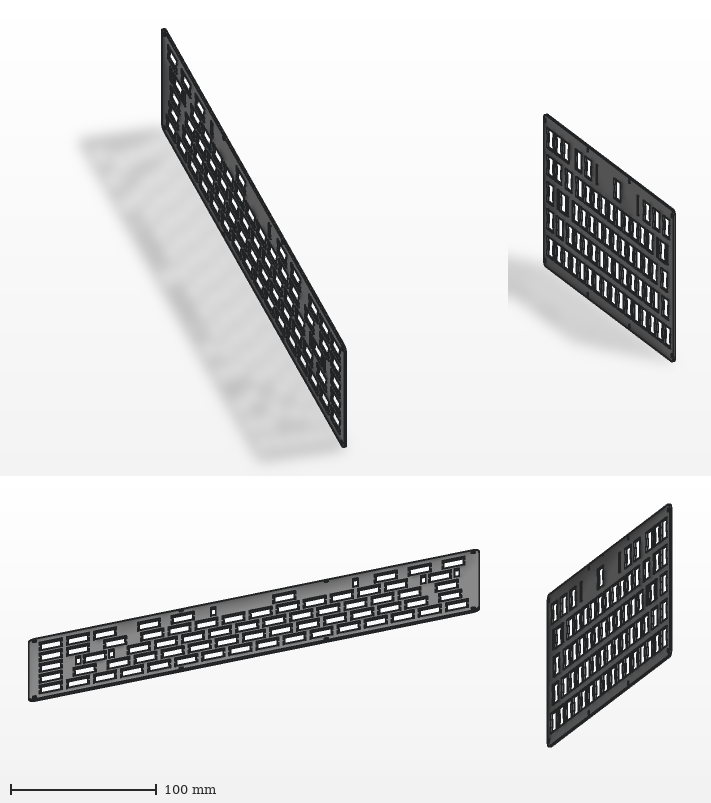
import cadquery as cq

plate_width = 317.0
plate_height = 106.8
plate_thickness = 1.5
corner_radius = 4.8

columns = 16
rows = 5
span_keys = 10
span_length = 190.5
key_pitch = span_length / span_keys

switch_height = 14.0
switch_width = 16.0
tab_half_height = 2.8
tab_depth = 1.0
tab_gap = switch_width - 2 * tab_depth

slot_width = 3.5
slot_height = 13.5
slot_offset_z = 0.3
wide_key_reach = 11.7
space_bar_reach = 50.0

screw_diameter = 2.5
corner_screw_inset = 4.0
edge_screw_inset = 2.5
edge_screw_x = 51.0


def key_run(first, count):
    """Centres of neighbouring one-unit keys, in key units from the left."""
    return [first + i for i in range(count)]


key_rows = [
    [0.625, 1.875, 3.125, 6.875, 10.625, 11.875] + key_run(13.5, 3),
    [1.125] + key_run(2.75, 10) + [13.125] + key_run(14.5, 2),
    [0.875] + key_run(2.25, 11) + [13.875, 15.5],
    [0.75] + key_run(2, 12) + [14.25, 15.5],
    key_run(0.5, columns),
]

stabilized_keys = [
    (0, 6.875, space_bar_reach),
    (1, 1.125, wide_key_reach),
    (2, 13.875, wide_key_reach),
]


def key_position(row, centre):
    """Plate coordinates (x, z) of a key given its row and centre in key units."""
    x = (centre - columns / 2) * key_pitch
    z = ((rows - 1) / 2 - row) * key_pitch
    return (x, z)


def through_cutter(sketch):
    """Extrude a sketch on the XZ plane through the whole plate."""
    return sketch.extrude(plate_thickness / 2, both=True)


def make_plate():
    outline = cq.Workplane("XZ").rect(plate_width, plate_height)
    return through_cutter(outline).edges("|Y").fillet(corner_radius)


def switch_cutters():
    centres = [key_position(row, c) for row, keys in enumerate(key_rows) for c in keys]
    middles = cq.Workplane("XZ").pushPoints(centres).rect(tab_gap, switch_height)
    end_height = switch_height / 2 - tab_half_height
    end_offset = (switch_height - end_height) / 2
    end_centres = [(x, z + side * end_offset) for x, z in centres for side in (-1, 1)]
    ends = cq.Workplane("XZ").pushPoints(end_centres).rect(switch_width, end_height)
    return [through_cutter(middles), through_cutter(ends)]


def stabilizer_cutter():
    centres = []
    for row, centre, reach in stabilized_keys:
        x, z = key_position(row, centre)
        centres += [(x + side * reach, z + slot_offset_z) for side in (-1, 1)]
    slots = cq.Workplane("XZ").pushPoints(centres).rect(slot_width, slot_height)
    return through_cutter(slots)


def screw_cutter():
    corner_x = plate_width / 2 - corner_screw_inset
    corner_z = plate_height / 2 - corner_screw_inset
    edge_z = plate_height / 2 - edge_screw_inset
    centres = []
    for x, z in [(corner_x, corner_z), (edge_screw_x, edge_z)]:
        centres += [(sx * x, sz * z) for sx in (-1, 1) for sz in (-1, 1)]
    return through_cutter(cq.Workplane("XZ").pushPoints(centres).circle(screw_diameter / 2))


result = make_plate()
for cutter in switch_cutters() + [stabilizer_cutter(), screw_cutter()]:
    result = result.cut(cutter)